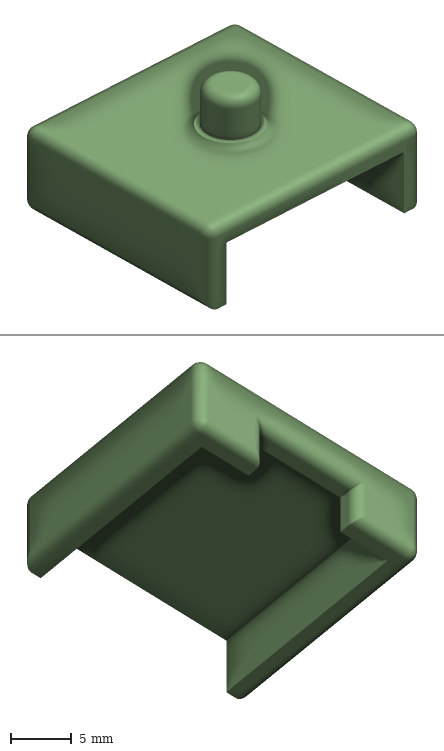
import cadquery as cq
import math

length_x = 22.2
width_y = 24.2
block_height = 8.0
edge_radius = 1.0

wall_thickness = 2.0

notch_width = 10.0
notch_height = 4.0

total_height = 12.5
pin_diameter = 5.0
pin_offset_x = wall_thickness / 2
pin_tip_radius = 1.0
collar_top_diameter = 6.0
collar_height = 0.5
collar_flank_radius = 1.0


def make_block():
    block = cq.Workplane("XY").box(length_x, width_y, block_height, centered=(True, True, False))
    notch = (
        cq.Workplane("XY")
        .box(wall_thickness, notch_width, notch_height, centered=(False, True, False))
        .translate((-length_x / 2, 0, 0))
    )
    cavity = (
        cq.Workplane("XY")
        .box(
            length_x - wall_thickness,
            width_y - 2 * wall_thickness,
            block_height - wall_thickness,
            centered=(True, True, False),
        )
        .translate((wall_thickness / 2, 0, 0))
    )
    rounded = block.cut(notch).faces("<X or <Y or >Y or >Z").edges().fillet(edge_radius)
    return rounded.cut(cavity)


def make_pin():
    """Revolved pin and collar; the concave flank runs out tangent to the top of the block."""
    pin_radius = pin_diameter / 2
    collar_top_radius = collar_top_diameter / 2
    collar_top_z = block_height + collar_height
    flank_centre_z = block_height + collar_flank_radius
    flank_rise = collar_flank_radius - collar_height
    flank_reach = math.sqrt(collar_flank_radius**2 - flank_rise**2)
    collar_base_radius = collar_top_radius + flank_reach
    mid_angle = math.acos(flank_rise / collar_flank_radius) / 2
    flank_middle = (
        collar_base_radius - collar_flank_radius * math.sin(mid_angle),
        flank_centre_z - collar_flank_radius * math.cos(mid_angle),
    )
    root_z = block_height - edge_radius
    profile = (
        cq.Workplane("XZ")
        .moveTo(0, root_z)
        .lineTo(collar_base_radius, root_z)
        .lineTo(collar_base_radius, block_height)
        .threePointArc(flank_middle, (collar_top_radius, collar_top_z))
        .lineTo(pin_radius, collar_top_z)
        .lineTo(pin_radius, total_height)
        .lineTo(0, total_height)
        .close()
    )
    pin = profile.revolve(360, (0, 0, 0), (0, 1, 0)).faces(">Z").edges().fillet(pin_tip_radius)
    return pin.translate((pin_offset_x, 0, 0))


result = make_block().union(make_pin())